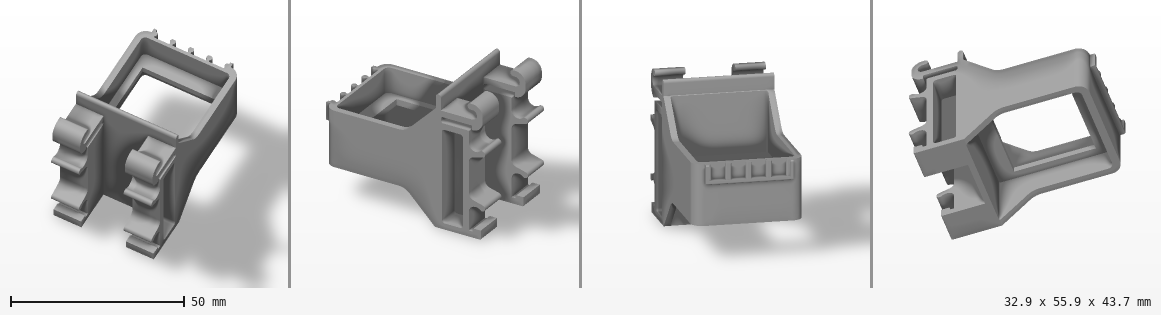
import math

import cadquery as cq

WIDTH = 32.9
TOTAL_DEPTH = 55.9
TOTAL_HEIGHT = 43.7
WALL = 2.0

LEG_FACE_Y = 5.5
DECK_TOP = 38.65
MID_Z = DECK_TOP / 2
BOX_HEIGHT = 18.5
BOX_TOP = MID_Z + BOX_HEIGHT / 2
BOX_BOTTOM = MID_Z - BOX_HEIGHT / 2
BOX_BACK_Y = 54.25
FLARE_FRONT_Y = 16.95
FLARE_ROUND = 5.0
BOX_CORNER_RADIUS = 3.4

LIP_FRONT_Y = 14.95
LIP_THICKNESS = 1.7
LIP_ROUND = 1.0
LIP_BACK_Y = LIP_FRONT_Y + LIP_THICKNESS

SLOT_END_Y = LIP_FRONT_Y
SLOT_TOP = DECK_TOP - WALL
SLOT_BOTTOM = SLOT_TOP - WALL
SLOT_CORNER_RADIUS = 0.7
LEG_CORNER_RADIUS = 0.3

HOOK_CENTRE_Y = 4.3
HOOK_INNER_RADIUS = 1.55
HOOK_THICKNESS = TOTAL_HEIGHT - DECK_TOP - 2 * HOOK_INNER_RADIUS
HOOK_OUTER_RADIUS = HOOK_INNER_RADIUS + HOOK_THICKNESS
HOOK_UPPER_Z = DECK_TOP + HOOK_INNER_RADIUS
HOOK_TIP_RADIUS = HOOK_THICKNESS / 2
HOOK_TIP_Y = 5.9
HOOK_NOSE_BACK_Y = 4.4

FOOT_FRONT_Y = 1.45
FOOT_BACK_Y = 4.2
FOOT_HEIGHT = 3.05
FOOT_ROUND = 0.5
FOOT_BASE_ROUND = 0.4

FINGER_TIP_RADIUS = 1.0
FINGER_OFFSET_Z = 8.85
FINGER_SLOPE = math.radians(15)
FINGER_ROOT_RADIUS = 2.0
SOCKET_RADIUS = 2.3

CHANNEL_WIDTH = 14.75
LEG_WIDTH = (WIDTH - CHANNEL_WIDTH) / 2
POCKET_FRONT_Y = LEG_FACE_Y + WALL
POCKET_BACK_Y = 14.55
POCKET_TOP = SLOT_BOTTOM - WALL
POCKET_DEPTH = LEG_WIDTH - WALL
POCKET_CORNER_RADIUS = 0.9

CAVITY_FRONT_Y = 16.8
CAVITY_BACK_Y = 51.9
CAVITY_BACK_RADIUS = 1.5
CAVITY_FRONT_RADIUS = 0.5
LEDGE_THICKNESS = 2.0
LEDGE_TOP = MID_Z + LEDGE_THICKNESS / 2
WINDOW_WIDTH = 24.2
WINDOW_FRONT_Y = 22.1
WINDOW_BACK_Y = 47.2

BLOCK_WIDTH = 26.0
BLOCK_HEIGHT = 5.9
BLOCK_FLOOR = 1.0
BLOCK_ROUND = 0.45
BLOCK_BOTTOM = BOX_TOP - BLOCK_HEIGHT
RECESS_WIDTH = 24.2
RECESS_FRONT_Y = 52.95
RAIL_COUNT = 5
RAIL_PITCH = 6.0
RAIL_BEAD_RADIUS = 0.9
RAIL_BEAD_Y = 54.25
RAIL_NECK_WIDTH = 0.9
RAIL_TOP_Y = 55.0


def box(x_range, y_range, z_range):
    """Axis-aligned block between the given limits."""
    sizes = [high - low for low, high in (x_range, y_range, z_range)]
    corner = (x_range[0], y_range[0], z_range[0])
    return cq.Workplane("XY").box(*sizes, centered=False).translate(corner)


def centred(width):
    return (-width / 2, width / 2)


def side_plane():
    """YZ plane at the left side, so that extrusions by WIDTH span the whole part."""
    return cq.Workplane("YZ", origin=(-WIDTH / 2, 0, 0))


def on_circle(centre, radius, angle):
    return (centre[0] + radius * math.cos(angle), centre[1] + radius * math.sin(angle))


def make_base():
    """Box, flared transition and leg block in one side profile."""
    flare_back_y = FLARE_FRONT_Y + BOX_BOTTOM
    base = (
        side_plane()
        .polyline([
            (LEG_FACE_Y, 0),
            (FLARE_FRONT_Y, 0),
            (flare_back_y, BOX_BOTTOM),
            (BOX_BACK_Y, BOX_BOTTOM),
            (BOX_BACK_Y, BOX_TOP),
            (flare_back_y, BOX_TOP),
            (FLARE_FRONT_Y, DECK_TOP),
            (LEG_FACE_Y, DECK_TOP),
        ])
        .close()
        .extrude(WIDTH)
    )
    for flare_z in (BOX_BOTTOM, BOX_TOP):
        flare_corner = cq.selectors.NearestToPointSelector((0, flare_back_y, flare_z))
        base = base.edges(flare_corner).fillet(FLARE_ROUND)
    return base.edges("|Z and >Y").fillet(BOX_CORNER_RADIUS)


def make_lip():
    """Strip that rises from the deck to two rounds meeting in a ridge; its foot tops up the flare."""
    half_thickness = LIP_THICKNESS / 2
    ridge_y = LIP_FRONT_Y + half_thickness
    round_height = math.sqrt(LIP_ROUND**2 - (LIP_ROUND - half_thickness) ** 2)
    round_z = TOTAL_HEIGHT - round_height
    return (
        side_plane()
        .moveTo(LIP_FRONT_Y, DECK_TOP)
        .lineTo(LIP_FRONT_Y, round_z)
        .radiusArc((ridge_y, TOTAL_HEIGHT), LIP_ROUND)
        .radiusArc((LIP_BACK_Y, round_z), LIP_ROUND)
        .lineTo(LIP_BACK_Y, DECK_TOP + FLARE_FRONT_Y - LIP_BACK_Y)
        .lineTo(FLARE_FRONT_Y, DECK_TOP)
        .close()
        .extrude(WIDTH)
    )


def cut_slot(body):
    """Slot that frees the deck from the legs, open to the front."""
    slot = box(centred(WIDTH), (0, SLOT_END_Y), (SLOT_BOTTOM, SLOT_TOP))
    slot = slot.edges("|X and >Y").fillet(SLOT_CORNER_RADIUS)
    body = body.cut(slot)
    leg_corner = cq.selectors.NearestToPointSelector((0, LEG_FACE_Y, SLOT_BOTTOM))
    return body.edges(leg_corner).fillet(LEG_CORNER_RADIUS)


def make_hook():
    """Front end of the deck, curling up and back, with a nose below it."""
    upper = (HOOK_CENTRE_Y, HOOK_UPPER_Z)
    lower = (HOOK_CENTRE_Y, DECK_TOP)
    hook_front_y = HOOK_CENTRE_Y - HOOK_OUTER_RADIUS
    nose_bottom = DECK_TOP - HOOK_OUTER_RADIUS
    hook_top = HOOK_UPPER_Z + HOOK_OUTER_RADIUS
    opening_top = HOOK_UPPER_Z + HOOK_INNER_RADIUS
    tip_centre = (HOOK_TIP_Y - HOOK_TIP_RADIUS, hook_top - HOOK_TIP_RADIUS)
    up_forward = math.radians(135)
    down_forward = math.radians(225)
    return (
        side_plane()
        .moveTo(HOOK_NOSE_BACK_Y, nose_bottom)
        .lineTo(HOOK_CENTRE_Y, nose_bottom)
        .threePointArc(on_circle(lower, HOOK_OUTER_RADIUS, down_forward), (hook_front_y, DECK_TOP))
        .lineTo(hook_front_y, HOOK_UPPER_Z)
        .threePointArc(on_circle(upper, HOOK_OUTER_RADIUS, up_forward), (HOOK_CENTRE_Y, hook_top))
        .lineTo(tip_centre[0], hook_top)
        .threePointArc((HOOK_TIP_Y, tip_centre[1]), (tip_centre[0], opening_top))
        .lineTo(HOOK_CENTRE_Y, opening_top)
        .threePointArc((HOOK_CENTRE_Y - HOOK_INNER_RADIUS, HOOK_UPPER_Z), (HOOK_CENTRE_Y, DECK_TOP))
        .lineTo(LEG_FACE_Y, DECK_TOP)
        .lineTo(LEG_FACE_Y, SLOT_TOP)
        .lineTo(HOOK_NOSE_BACK_Y, SLOT_TOP)
        .close()
        .extrude(WIDTH)
    )


def make_foot():
    """Toe at the base of the legs with a raised front end."""
    foot = (
        side_plane()
        .polyline([
            (LEG_FACE_Y, 0),
            (FOOT_FRONT_Y, 0),
            (FOOT_FRONT_Y, FOOT_HEIGHT),
            (FOOT_BACK_Y, FOOT_HEIGHT),
            (FOOT_BACK_Y, WALL),
            (LEG_FACE_Y, WALL),
        ])
        .close()
        .extrude(WIDTH)
    )
    raised_back = cq.selectors.NearestToPointSelector((0, FOOT_BACK_Y, FOOT_HEIGHT))
    base_front = cq.selectors.NearestToPointSelector((0, FOOT_FRONT_Y, 0))
    return foot.edges(raised_back).fillet(FOOT_ROUND).edges(base_front).fillet(FOOT_BASE_ROUND)


def make_upper_finger():
    """Round-tipped finger: a socket arc above it, a sloping underside and a rounded root below it."""
    tip = (FINGER_TIP_RADIUS, MID_Z + FINGER_OFFSET_Z)
    socket_y = LEG_FACE_Y - SOCKET_RADIUS
    centre_distance = SOCKET_RADIUS + FINGER_TIP_RADIUS
    socket_rise = math.sqrt(centre_distance**2 - (socket_y - tip[0]) ** 2)
    socket = (socket_y, tip[1] + socket_rise)
    contact_angle = math.atan2(socket_rise, socket_y - tip[0])
    contact = on_circle(tip, FINGER_TIP_RADIUS, contact_angle)
    socket_middle = on_circle(socket, SOCKET_RADIUS, (contact_angle - math.pi) / 2)

    under_angle = -math.pi / 2 - FINGER_SLOPE
    under_start = on_circle(tip, FINGER_TIP_RADIUS, under_angle)
    corner_z = under_start[1] - (LEG_FACE_Y - under_start[0]) * math.tan(FINGER_SLOPE)
    root_length = FINGER_ROOT_RADIUS * math.tan((math.pi / 2 - FINGER_SLOPE) / 2)
    under_end = on_circle((LEG_FACE_Y, corner_z), root_length, math.pi - FINGER_SLOPE)
    root_end = (LEG_FACE_Y, corner_z - root_length)
    return (
        side_plane()
        .moveTo(LEG_FACE_Y, socket[1])
        .threePointArc(socket_middle, contact)
        .threePointArc(on_circle(tip, FINGER_TIP_RADIUS, math.pi), under_start)
        .lineTo(*under_end)
        .tangentArcPoint(root_end, relative=False)
        .close()
        .extrude(WIDTH)
    )


def make_fingers():
    """Two fingers, mirrored about the middle height of the box."""
    finger = make_upper_finger()
    return finger.union(finger.mirror("XY", (0, 0, MID_Z)))


def make_pockets():
    """Blind pocket in the outer side of each leg."""
    pocket = box(
        (-WIDTH / 2, -WIDTH / 2 + POCKET_DEPTH),
        (POCKET_FRONT_Y, POCKET_BACK_Y),
        (WALL, POCKET_TOP),
    )
    pocket = pocket.edges("|X").fillet(POCKET_CORNER_RADIUS)
    return pocket.union(pocket.mirror("YZ"))


def make_cavity():
    """Opening through the box from top to bottom, less the ledge around its window."""
    cavity = box(centred(WIDTH - 2 * WALL), (CAVITY_FRONT_Y, CAVITY_BACK_Y), (0, TOTAL_HEIGHT))
    cavity = cavity.edges("|Z and >Y").fillet(CAVITY_BACK_RADIUS)
    cavity = cavity.edges("|Z and <Y").fillet(CAVITY_FRONT_RADIUS)
    ledge_z = (LEDGE_TOP - LEDGE_THICKNESS, LEDGE_TOP)
    ledge = box(centred(WIDTH), (CAVITY_FRONT_Y, CAVITY_BACK_Y), ledge_z)
    window = box(centred(WINDOW_WIDTH), (WINDOW_FRONT_Y, WINDOW_BACK_Y), ledge_z)
    return cavity.cut(ledge.cut(window))


def make_rail_block():
    """Block on the back face, before it is hollowed out around the rails."""
    block = box(centred(BLOCK_WIDTH), (RECESS_FRONT_Y, TOTAL_DEPTH), (BLOCK_BOTTOM, BOX_TOP))
    return block.edges("|X and >Y").fillet(BLOCK_ROUND)


def make_rail_recess():
    """Space between the beaded rails, open at the top and the back of the rail block."""
    recess_z = (BLOCK_BOTTOM + BLOCK_FLOOR, BOX_TOP)
    recess = box(centred(RECESS_WIDTH), (RECESS_FRONT_Y, TOTAL_DEPTH), recess_z)
    behind_rails = box(centred(WIDTH), (RAIL_TOP_Y, TOTAL_DEPTH), recess_z)
    for index in range(RAIL_COUNT):
        rail_x = (index - (RAIL_COUNT - 1) / 2) * RAIL_PITCH
        bead = (
            cq.Workplane("XY", origin=(rail_x, RAIL_BEAD_Y, recess_z[0]))
            .circle(RAIL_BEAD_RADIUS)
            .extrude(recess_z[1] - recess_z[0])
        )
        neck = box(centred(RAIL_NECK_WIDTH), (RECESS_FRONT_Y, RAIL_BEAD_Y), recess_z)
        rail = bead.union(neck.translate((rail_x, 0, 0))).cut(behind_rails)
        recess = recess.cut(rail)
    return recess


body = cut_slot(make_base())
for addition in (make_lip(), make_hook(), make_foot(), make_fingers(), make_rail_block()):
    body = body.union(addition)

channel = box(centred(CHANNEL_WIDTH), (0, LIP_FRONT_Y), (0, TOTAL_HEIGHT))
for removal in (channel, make_pockets(), make_cavity(), make_rail_recess()):
    body = body.cut(removal)

result = body